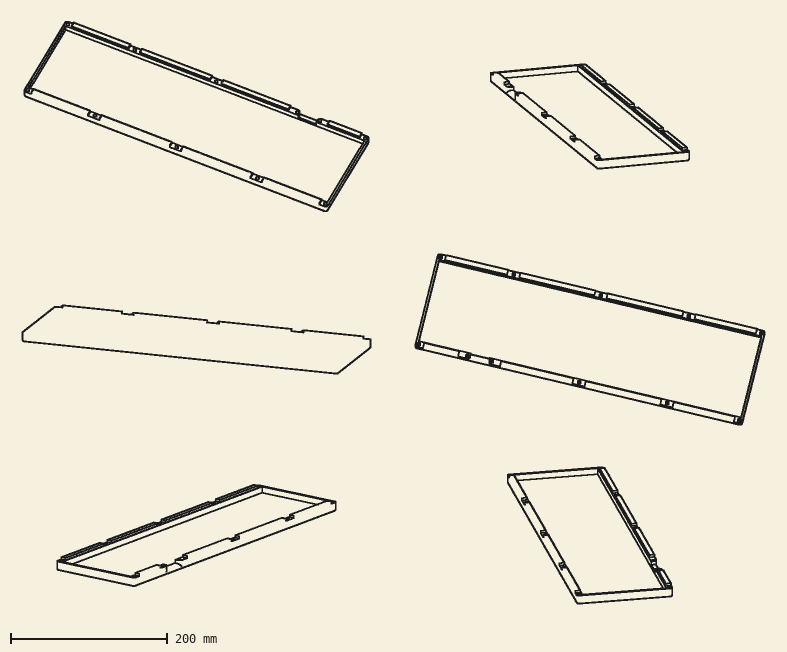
import cadquery as cq
LENGTH = 429.0
WIDTH = 125.0
WALL_TOP = 12.0
FLOOR = 4.0
END_WALL = 3.0
SIDE_WALL = 7.75
CORNER_RADIUS = 3.0
BOTTOM_FILLET = 2.99

RIDGE_HEIGHT = 3.0
RIDGE_LEDGE = 1.0
RIDGE_FILLET = 0.5
RIDGE_END_INSET = 10.5
RIDGE_GAP = 16.0

HOLE_DIAMETER = 4.0
HOLE_DEPTH = 8.0
HOLE_INSET = 4.0
LEFT_HOLE_X = -115.5
RIGHT_HOLE_X = 114.5

NOTCH_WIDTH = 25.0
NOTCH_DEPTH = 4.25
NOTCH_MOUTH_FILLET = 4.5
NOTCH_HOLE_PITCH = 32.0
NOTCH_RIDGE_GAP = 55.0

HALF_LENGTH = LENGTH / 2
HALF_WIDTH = WIDTH / 2
RIDGE_END_X = HALF_LENGTH - RIDGE_END_INSET
RIDGE_WIDTH = SIDE_WALL - RIDGE_LEDGE
CORNER_HOLE_X = HALF_LENGTH - HOLE_INSET
HOLE_Y = HALF_WIDTH - HOLE_INSET
NOTCH_X = RIGHT_HOLE_X + NOTCH_HOLE_PITCH / 2

FRONT = -1
BACK = 1


def make_tray():
    """Open tray with thin end walls and wide long walls."""
    body = cq.Workplane("XY").box(LENGTH, WIDTH, WALL_TOP, centered=(True, True, False))
    body = body.edges("|Z").fillet(CORNER_RADIUS)
    body = body.faces("<Z").edges().fillet(BOTTOM_FILLET)
    cavity_length = LENGTH - 2 * END_WALL
    cavity_width = WIDTH - 2 * SIDE_WALL
    cavity = cq.Workplane("XY", origin=(0, 0, FLOOR)).rect(cavity_length, cavity_width).extrude(WALL_TOP)
    return body.cut(cavity)


def cut_notch(body):
    """Cut the cable notch and round its outer mouth."""
    notch = cq.Workplane("XY").box(NOTCH_WIDTH, 2 * SIDE_WALL + 1, 2 * NOTCH_DEPTH)
    body = body.cut(notch.translate((NOTCH_X, HALF_WIDTH, WALL_TOP)))
    margin = 0.1
    mouth = cq.selectors.BoxSelector(
        (NOTCH_X - NOTCH_WIDTH / 2 - margin, HALF_WIDTH - margin, WALL_TOP - NOTCH_DEPTH - margin),
        (NOTCH_X + NOTCH_WIDTH / 2 + margin, HALF_WIDTH + margin, WALL_TOP - margin),
    )
    return body.edges(mouth).fillet(NOTCH_MOUTH_FILLET)


def make_ridge(x_start, x_end, side):
    """One ridge on a long wall, with its outer top edge rounded."""
    ridge = cq.Workplane("XY").box(x_end - x_start, RIDGE_WIDTH, RIDGE_HEIGHT, centered=(True, True, False))
    outer_edge = ">Y and >Z" if side == BACK else "<Y and >Z"
    ridge = ridge.edges(outer_edge).fillet(RIDGE_FILLET)
    return ridge.translate(((x_start + x_end) / 2, side * (HALF_WIDTH - RIDGE_WIDTH / 2), WALL_TOP))


def add_ridges(body, side, gaps):
    """Fill one long wall with ridges, leaving a gap of each (centre, width)."""
    starts = [-RIDGE_END_X] + [centre + width / 2 for centre, width in gaps]
    ends = [centre - width / 2 for centre, width in gaps] + [RIDGE_END_X]
    for x_start, x_end in zip(starts, ends):
        body = body.union(make_ridge(x_start, x_end, side))
    return body


def drill_holes(body, side, inner_places):
    """Blind screw holes at both corners and at the given X places of one long wall."""
    places = [-CORNER_HOLE_X] + inner_places + [CORNER_HOLE_X]
    holes = (
        cq.Workplane("XY", origin=(0, 0, WALL_TOP))
        .pushPoints([(x, side * HOLE_Y) for x in places])
        .circle(HOLE_DIAMETER / 2)
        .extrude(-HOLE_DEPTH)
    )
    return body.cut(holes)


front_holes = [LEFT_HOLE_X, 0, RIGHT_HOLE_X]
back_holes = front_holes + [RIGHT_HOLE_X + NOTCH_HOLE_PITCH]
front_gaps = [(x, RIDGE_GAP) for x in front_holes]
back_gaps = [(LEFT_HOLE_X, RIDGE_GAP), (0, RIDGE_GAP), (NOTCH_X, NOTCH_RIDGE_GAP)]

result = cut_notch(make_tray())
result = add_ridges(result, FRONT, front_gaps)
result = add_ridges(result, BACK, back_gaps)
result = drill_holes(result, FRONT, front_holes)
result = drill_holes(result, BACK, back_holes)